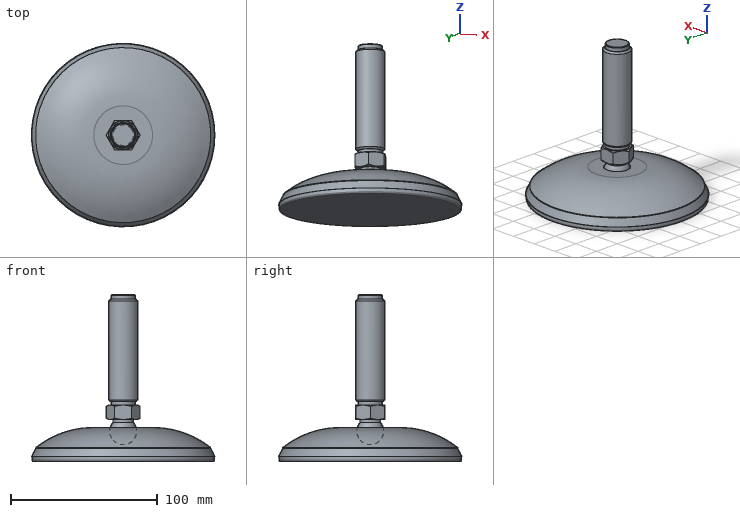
import cadquery as cq
import math

overall_diameter = 125.0
overall_height = 113.8

pad_base_diameter = 124.2
pad_bottom_fillet = 1.0
pad_widest_height = 3.5
pad_top_height = 9.1

plate_diameter = 119.2
plate_edge_height = 9.6
plate_top_height = 23.4
plate_flat_diameter = 40.0

ball_diameter = 18.4
ball_center_drop = 2.6
lower_neck_diameter = 14.0
hexagon_sides = 6
hexagon_bottom = 28.6
hexagon_height = 10.0
hexagon_across_flats = 20.0
hexagon_face_diameter = 19.6
hexagon_chamfer_angle = 30.0
shank_diameter = 20.0
shank_end_diameter = 17.4
upper_neck_diameter = 16.5
shank_bottom = 42.1
shank_top = 109.4
tip_chamfer = 0.5

ball_center_height = plate_top_height - ball_center_drop
hexagon_top = hexagon_bottom + hexagon_height
shank_cone_height = (shank_diameter - shank_end_diameter) / 2


def revolve_profile(profile):
    """Turn a closed radius-height outline about the Z axis."""
    return profile.close().revolve(360, (0, 0, 0), (0, 1, 0))


def ball():
    """Sphere shared by the spindle foot and its socket."""
    return cq.Workplane("XY").sphere(ball_diameter / 2).translate((0, 0, ball_center_height))


def make_pad():
    """Disc tapering from its widest rim up to the edge of the plate."""
    base_radius = pad_base_diameter / 2
    outline = (
        cq.Workplane("XZ")
        .lineTo(base_radius - pad_bottom_fillet, 0)
        .tangentArcPoint((base_radius, pad_bottom_fillet), relative=False)
        .lineTo(base_radius, pad_widest_height)
        .lineTo(overall_diameter / 2, pad_widest_height)
        .lineTo(plate_diameter / 2, pad_top_height)
        .lineTo(0, pad_top_height)
    )
    return revolve_profile(outline)


def make_plate():
    """Domed disc, its arc tangent to the flat top, with an open ball socket."""
    edge_radius = plate_diameter / 2
    flat_radius = plate_flat_diameter / 2
    outline = (
        cq.Workplane("XZ")
        .moveTo(0, plate_top_height)
        .lineTo(flat_radius, plate_top_height)
        .tangentArcPoint((edge_radius, plate_edge_height), relative=False)
        .lineTo(edge_radius, pad_top_height)
        .lineTo(0, pad_top_height)
    )
    mouth = (
        cq.Workplane("XY", origin=(0, 0, ball_center_height))
        .circle(ball_diameter / 2)
        .extrude(ball_center_drop)
    )
    return revolve_profile(outline).cut(ball()).cut(mouth)


def make_hexagon():
    """Hexagon with corners on X, both ends trimmed by a cone."""
    corner_diameter = hexagon_across_flats / math.cos(math.pi / hexagon_sides)
    prism = (
        cq.Workplane("XY", origin=(0, 0, hexagon_bottom))
        .polygon(hexagon_sides, corner_diameter)
        .extrude(hexagon_height)
    )
    face_radius = hexagon_face_diameter / 2
    corner_radius = corner_diameter / 2
    corner_drop = (corner_radius - face_radius) * math.tan(math.radians(hexagon_chamfer_angle))
    envelope = (
        cq.Workplane("XZ")
        .moveTo(0, hexagon_bottom)
        .lineTo(face_radius, hexagon_bottom)
        .lineTo(corner_radius, hexagon_bottom + corner_drop)
        .lineTo(corner_radius, hexagon_top - corner_drop)
        .lineTo(face_radius, hexagon_top)
        .lineTo(0, hexagon_top)
    )
    return prism.intersect(revolve_profile(envelope))


def make_shank():
    """Shank with a cone at each end, a neck below and a chamfered tip above."""
    neck_radius = upper_neck_diameter / 2
    end_radius = shank_end_diameter / 2
    shank_radius = shank_diameter / 2
    outline = (
        cq.Workplane("XZ")
        .moveTo(0, hexagon_top)
        .lineTo(neck_radius, hexagon_top)
        .lineTo(neck_radius, shank_bottom - shank_cone_height)
        .lineTo(end_radius, shank_bottom - shank_cone_height)
        .lineTo(shank_radius, shank_bottom)
        .lineTo(shank_radius, shank_top)
        .lineTo(end_radius, shank_top + shank_cone_height)
        .lineTo(neck_radius, shank_top + shank_cone_height)
        .lineTo(neck_radius, overall_height - tip_chamfer)
        .lineTo(neck_radius - tip_chamfer, overall_height)
        .lineTo(0, overall_height)
    )
    return revolve_profile(outline)


def make_spindle():
    """Ball foot, lower neck, hexagon and shank in one piece."""
    lower_neck = (
        cq.Workplane("XY", origin=(0, 0, ball_center_height))
        .circle(lower_neck_diameter / 2)
        .extrude(hexagon_bottom - ball_center_height)
    )
    return ball().union(lower_neck).union(make_hexagon()).union(make_shank())


pad = make_pad()
plate = make_plate()
spindle = make_spindle()

result = cq.Compound.makeCompound([pad.val(), plate.val(), spindle.val()])